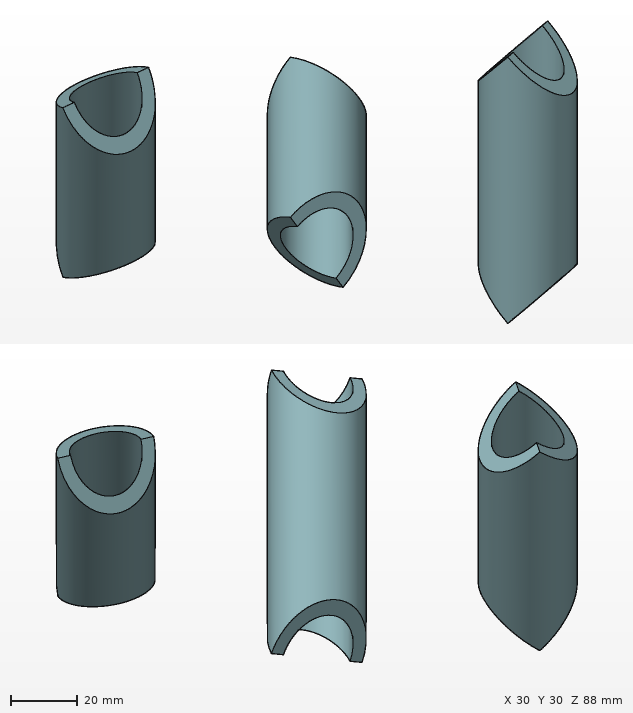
import cadquery as cq

length = 88.0
outer_diameter = 30.0
bore_diameter = 22.0

outer_radius = outer_diameter / 2
half_length = length / 2
shoulder_height = half_length - outer_radius


def make_tube():
    """Straight round tube along Z, centred on the origin."""
    return (
        cq.Workplane("XY")
        .workplane(offset=-half_length)
        .circle(outer_radius)
        .circle(bore_diameter / 2)
        .extrude(length)
    )


def make_mitre_envelope():
    """Hexagonal prism along Y whose sloped faces mitre both tube ends to a ridge."""
    return (
        cq.Workplane("XZ")
        .moveTo(0, half_length)
        .lineTo(outer_radius, shoulder_height)
        .lineTo(outer_radius, -shoulder_height)
        .lineTo(0, -half_length)
        .lineTo(-outer_radius, -shoulder_height)
        .lineTo(-outer_radius, shoulder_height)
        .close()
        .extrude(outer_radius, both=True)
    )


result = make_tube().intersect(make_mitre_envelope())